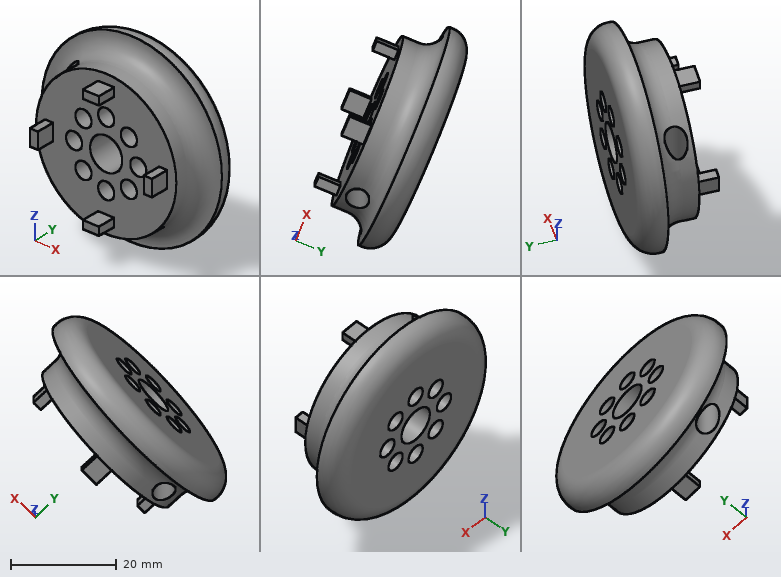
import cadquery as cq
import math

rim_radius = 22.5
neck_radius = 35.0 / 2
curve_radius = 4.28
rim_thickness = 5.0
body_depth = 12.5
total_depth = 17.0

center_bore_diameter = 8.0
ring_hole_diameter = 4.0
ring_hole_count = 8
ring_radius = 8.0

pin_count = 4
pin_width = 4.0
pin_thickness = 2.02
pin_center_radius = 14.2

cross_hole_diameter = 4.4
cross_hole_x = -12.5
cove_end_depth = rim_thickness + curve_radius


def make_body():
    """Revolve the half profile: rounded rim, cove and straight neck."""
    diagonal = curve_radius * math.sqrt(0.5)
    cove_center_radius = neck_radius + curve_radius
    profile = (
        cq.Workplane("XY")
        .lineTo(rim_radius - curve_radius, 0)
        .threePointArc(
            (rim_radius - curve_radius + diagonal, diagonal - curve_radius),
            (rim_radius, -curve_radius),
        )
        .lineTo(rim_radius, -rim_thickness)
        .lineTo(cove_center_radius, -rim_thickness)
        .threePointArc(
            (cove_center_radius - diagonal, diagonal - cove_end_depth),
            (neck_radius, -cove_end_depth),
        )
        .lineTo(neck_radius, -body_depth)
        .lineTo(0, -body_depth)
        .close()
    )
    return profile.revolve(360, (0, 0, 0), (0, 1, 0))


def make_axial_holes():
    """Center bore and the ring of holes around it, through the body."""
    bore = cq.Workplane("XZ").circle(center_bore_diameter / 2).extrude(body_depth)
    ring = (
        cq.Workplane("XZ")
        .polarArray(ring_radius, 0, 360, ring_hole_count)
        .circle(ring_hole_diameter / 2)
        .extrude(body_depth)
    )
    return bore.union(ring)


def make_pins():
    """Rectangular pins standing on the neck face, thin side radial."""
    return (
        cq.Workplane("XZ", origin=(0, -body_depth, 0))
        .polarArray(pin_center_radius, 0, 360, pin_count)
        .rect(pin_thickness, pin_width)
        .extrude(total_depth - body_depth)
    )


def make_cross_hole():
    """Off-center hole along Z, level with the front end of the cove."""
    bottom_center = cq.Vector(cross_hole_x, -cove_end_depth, -rim_radius)
    seam_direction = cq.Vector(1, 1, 0)
    return (
        cq.Workplane(cq.Plane(bottom_center, seam_direction, cq.Vector(0, 0, 1)))
        .circle(cross_hole_diameter / 2)
        .extrude(2 * rim_radius)
    )


result = make_body().union(make_pins()).cut(make_axial_holes()).cut(make_cross_hole())